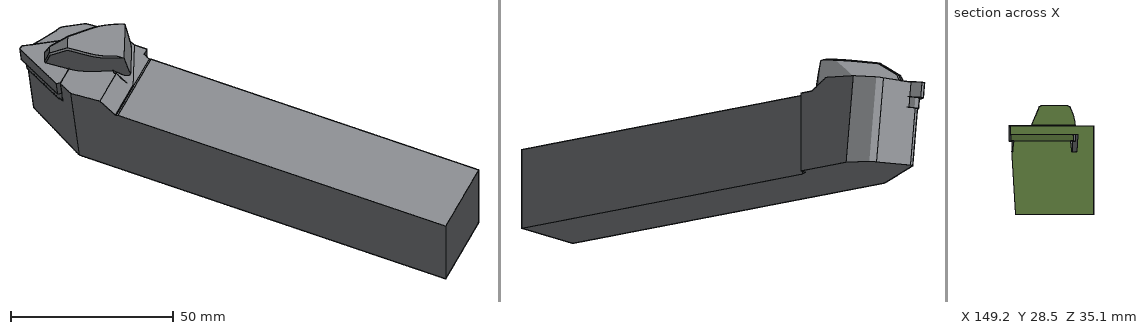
import cadquery as cq
import math

LENGTH = 149.2
SHANK = 25.0
HEAD_WIDTH = 28.5
TILT = 6.0
TIP_Y = SHANK / 2
TIP_Z = 25.7
HEAD_DROP = 0.1
NOSE_SETBACK = 2.0
NOSE_HALF_WIDTH = 0.6
NEAR_FACE_ANGLE = 30.0
FAR_FACE_ANGLE = 60.0
FAR_REAR_ANGLE = 30.0
FAR_FACE_TOP = 10.3
FAR_BLEND = (1.5, 2.2)
OVERSIZE = 223.8

SLOPE_START_X = 32.4
SLOPE_END_X = 37.6
STEP_X = 37.9
STEP_RUN = 0.6
STEP_DROP = 0.3
BULGE_END_X = 35.7
BULGE_STEP_Y = 26.3

INSERT_INSCRIBED = 12.7
INSERT_THICKNESS = 4.8
CORNER_FLAT = 1.3
SHIM_THICKNESS = 3.3
SHIM_INSET = 0.5
SHIM_CORNER_RADIUS = 1.2

CLAMP_ANGLE = 22.5
CLAMP_TIP = (8.7, -1.2)
CLAMP_LENGTH = 26.5
CLAMP_HEIGHT = 6.1
CLAMP_HALF_WIDTH = 7.2
CLAMP_TIP_HALF_WIDTH = 2.4
TAPER_ANGLE = 22.5
TAPER_DRAFT = 23.0
TAPER_BLEND_RADIUS = 10.5
RAMP_FOOT = (1.8, 3.0)
RAMP_TOP = 7.8
REAR_DRAFT = 7.0
REAR_ROUND_RADIUS = 6.3
REAR_ROUND_ANGLE = 28.0
REAR_CORNER_RADIUS = 2.1
CLAMP_CHAMFER = 0.5
HEEL_START = 21.5
HEEL_DEPTH = 3.6

SEAT_FOOT = 27.6
SEAT_SLOPE = 33.5
SEAT_SIDE_Y = 12.4


def sin(degrees):
    return math.sin(math.radians(degrees))


def cos(degrees):
    return math.cos(math.radians(degrees))


def tan(degrees):
    return math.tan(math.radians(degrees))


FLOOR_Z = SHANK - STEP_DROP
INSERT_REAR = 1.5 * INSERT_INSCRIBED - CORNER_FLAT * cos(30)

head_frame = cq.Plane(
    origin=(0, TIP_Y, TIP_Z), xDir=(cos(TILT), 0, sin(TILT)), normal=(-sin(TILT), 0, cos(TILT))
)


def triangle(inscribed, rear):
    """Corners of an equilateral triangle that points at -x, with its rear edge at `rear`."""
    half_side = 1.5 * inscribed * tan(30)
    return [(rear - 1.5 * inscribed, 0), (rear, -half_side), (rear, half_side)]


def make_side_prism():
    """Side shape of shank, slope and head, across the full width."""
    head_top = TIP_Z - HEAD_DROP / cos(TILT)
    points = [
        (0, 0),
        (LENGTH, 0),
        (LENGTH, SHANK),
        (STEP_X + STEP_RUN, SHANK),
        (STEP_X, FLOOR_Z),
        (SLOPE_END_X, FLOOR_Z),
        (SLOPE_START_X, head_top + SLOPE_START_X * tan(TILT)),
        (0, head_top),
    ]
    return cq.Workplane("XZ").polyline(points).close().extrude(-HEAD_WIDTH)


def make_head_prism():
    """Pointed outline of the head, along the tilted direction and past both ends of the holder."""
    near_v = -TIP_Y
    far_v = HEAD_WIDTH - TIP_Y
    near_u = NOSE_SETBACK + (-NOSE_HALF_WIDTH - near_v) / tan(NEAR_FACE_ANGLE)
    blend_start = (NOSE_SETBACK + (FAR_FACE_TOP - NOSE_HALF_WIDTH) / tan(FAR_FACE_ANGLE), FAR_FACE_TOP)
    blend_end = (blend_start[0] + FAR_BLEND[0], blend_start[1] + FAR_BLEND[1])
    far_u = blend_end[0] + (far_v - blend_end[1]) / tan(FAR_REAR_ANGLE)
    return (
        cq.Workplane(head_frame)
        .workplane(offset=-OVERSIZE / 2)
        .moveTo(NOSE_SETBACK, NOSE_HALF_WIDTH)
        .lineTo(NOSE_SETBACK, -NOSE_HALF_WIDTH)
        .lineTo(near_u, near_v)
        .lineTo(OVERSIZE, near_v)
        .lineTo(OVERSIZE, far_v)
        .lineTo(far_u, far_v)
        .lineTo(*blend_end)
        .tangentArcPoint(blend_start, relative=False)
        .close()
        .extrude(OVERSIZE)
    )


def make_rear_relief():
    """Space behind the bulge of the head, along the far side of the shank."""
    points = [
        (BULGE_END_X, HEAD_WIDTH),
        (BULGE_END_X, BULGE_STEP_Y),
        (STEP_X, SHANK),
        (LENGTH, SHANK),
        (LENGTH, HEAD_WIDTH),
    ]
    return cq.Workplane("XY").polyline(points).close().extrude(OVERSIZE)


def make_pocket():
    """Open pocket for the insert and the shim below it."""
    depth = INSERT_THICKNESS + SHIM_THICKNESS
    tip, near, far = triangle(INSERT_INSCRIBED, INSERT_REAR)
    points = [tip, (tip[0], near[1]), near, far]
    return cq.Workplane(head_frame).workplane(offset=-depth).polyline(points).close().extrude(2 * depth)


def make_shim():
    """Rounded triangular shim that stands on the pocket floor, against its rear wall."""
    inscribed = INSERT_INSCRIBED - 2 * SHIM_INSET
    return (
        cq.Workplane(head_frame)
        .workplane(offset=-INSERT_THICKNESS - SHIM_THICKNESS)
        .polyline(triangle(inscribed, INSERT_REAR))
        .close()
        .extrude(SHIM_THICKNESS)
        .edges(cq.selectors.ParallelDirSelector(head_frame.zDir))
        .fillet(SHIM_CORNER_RADIUS)
    )


def make_heel_seat():
    """Sloped recess across the rear of the head, square to the clamp axis."""
    rise = SHANK
    frame = cq.Plane(
        origin=(CLAMP_TIP[0] * cos(TILT), TIP_Y + CLAMP_TIP[1], FLOOR_Z),
        xDir=(cos(CLAMP_ANGLE), sin(CLAMP_ANGLE), 0),
        normal=(sin(CLAMP_ANGLE), -cos(CLAMP_ANGLE), 0),
    )
    points = [
        (SEAT_FOOT, 0),
        (SEAT_FOOT - rise / tan(SEAT_SLOPE), rise),
        (2 * SEAT_FOOT, rise),
        (2 * SEAT_FOOT, 0),
    ]
    slope = cq.Workplane(frame).polyline(points).close().extrude(HEAD_WIDTH, both=True)
    zone = cq.Workplane("XY").box(STEP_X, HEAD_WIDTH, OVERSIZE, centered=False).translate((0, SEAT_SIDE_Y, 0))
    return slope.intersect(zone)


def make_clamp_taper(side):
    """Space beside one tapered side of the clamp; `side` is 1 or -1 across the clamp."""
    frame = cq.Plane(
        origin=(0, side * CLAMP_TIP_HALF_WIDTH, 0),
        xDir=(-sin(TAPER_ANGLE), side * cos(TAPER_ANGLE), 0),
        normal=(cos(TAPER_ANGLE), side * sin(TAPER_ANGLE), 0),
    )
    reach = CLAMP_LENGTH
    lean = reach * tan(TAPER_DRAFT)
    points = [(lean, -side * reach), (-lean, side * reach), (reach, side * reach), (reach, -side * reach)]
    return cq.Workplane(frame).polyline(points).close().extrude(2 * CLAMP_LENGTH, both=True)


def make_clamp_plan():
    """Block with tapered front sides that blend into its parallel rear sides."""
    height = CLAMP_HEIGHT + HEEL_DEPTH
    block = (
        cq.Workplane("XY")
        .box(CLAMP_LENGTH, 2 * CLAMP_HALF_WIDTH, height, centered=(False, True, False))
        .translate((0, 0, -HEEL_DEPTH))
        .edges(">X and |Z")
        .fillet(REAR_CORNER_RADIUS)
    )
    for side in (-1, 1):
        block = block.cut(make_clamp_taper(side))
    taper_edge = cq.Vector(tan(TAPER_DRAFT) / sin(TAPER_ANGLE), 0, 1)
    return block.faces("|Y").edges(cq.selectors.ParallelDirSelector(taper_edge)).fillet(TAPER_BLEND_RADIUS)


def make_clamp_profile():
    """Side shape of the clamp: front ramp, level top, leaning rear and heel."""
    points = [
        (0, 0),
        RAMP_FOOT,
        (RAMP_TOP, CLAMP_HEIGHT),
        (CLAMP_LENGTH, CLAMP_HEIGHT),
        (CLAMP_LENGTH, -HEEL_DEPTH),
        (HEEL_START, 0),
    ]
    return cq.Workplane("XZ").polyline(points).close().extrude(2 * CLAMP_HALF_WIDTH, both=True)


def make_clamp_rear_trim():
    """Space behind the leaning rear of the clamp and above its rounded rear edge."""
    rear_top = CLAMP_LENGTH - (CLAMP_HEIGHT + HEEL_DEPTH) * tan(REAR_DRAFT)
    round_run = REAR_ROUND_RADIUS * sin(REAR_ROUND_ANGLE)
    round_drop = REAR_ROUND_RADIUS * (1 - cos(REAR_ROUND_ANGLE))
    round_start = (rear_top - round_run, CLAMP_HEIGHT)
    round_middle = (
        round_start[0] + REAR_ROUND_RADIUS * sin(REAR_ROUND_ANGLE / 2),
        CLAMP_HEIGHT - REAR_ROUND_RADIUS * (1 - cos(REAR_ROUND_ANGLE / 2)),
    )
    return (
        cq.Workplane("XZ")
        .moveTo(*round_start)
        .threePointArc(round_middle, (rear_top, CLAMP_HEIGHT - round_drop))
        .lineTo(CLAMP_LENGTH, -HEEL_DEPTH)
        .lineTo(2 * CLAMP_LENGTH, -HEEL_DEPTH)
        .lineTo(2 * CLAMP_LENGTH, 2 * CLAMP_HEIGHT)
        .lineTo(round_start[0], 2 * CLAMP_HEIGHT)
        .close()
        .extrude(2 * CLAMP_HALF_WIDTH, both=True)
    )


def make_clamp():
    """Clamp finger with a ramped, tapered front and a heel, placed on the head."""
    clamp = make_clamp_plan().intersect(make_clamp_profile())
    ramp_middle = ((RAMP_FOOT[0] + RAMP_TOP) / 2, 0, (RAMP_FOOT[1] + CLAMP_HEIGHT) / 2)
    nose_middle = (RAMP_FOOT[0] / 2, 0, RAMP_FOOT[1] / 2)
    ramp = clamp.faces(cq.selectors.NearestToPointSelector(ramp_middle))
    nose = clamp.faces(cq.selectors.NearestToPointSelector(nose_middle))
    rim = clamp.faces(">Z").add(ramp).add(nose).edges("not |Y")
    clamp = rim.chamfer(CLAMP_CHAMFER).cut(make_clamp_rear_trim())
    seat = cq.Plane(
        origin=head_frame.toWorldCoords((*CLAMP_TIP, 0)),
        xDir=head_frame.xDir * cos(CLAMP_ANGLE) + head_frame.yDir * sin(CLAMP_ANGLE),
        normal=head_frame.zDir,
    )
    return cq.Workplane(clamp.val().moved(cq.Location(seat)))


def make_holder():
    holder = make_side_prism().intersect(make_head_prism()).cut(make_rear_relief())
    return holder.cut(make_pocket()).cut(make_heel_seat()).union(make_shim()).union(make_clamp())


def make_insert():
    """Triangular insert with a flat across each corner."""
    return (
        cq.Workplane(head_frame)
        .workplane(offset=-INSERT_THICKNESS)
        .polyline(triangle(INSERT_INSCRIBED, INSERT_REAR))
        .close()
        .extrude(INSERT_THICKNESS)
        .edges(cq.selectors.ParallelDirSelector(head_frame.zDir))
        .chamfer(CORNER_FLAT)
    )


holder = make_holder()
insert = make_insert()
result = cq.Compound.makeCompound([holder.val(), insert.val()])